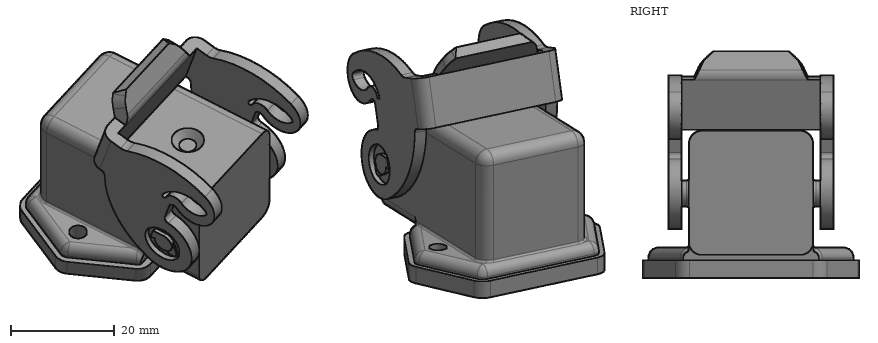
import cadquery as cq
import math

plate_length = 30.0
plate_width = 42.0
plate_height = 3.5
plate_corner = 3.0
flank_slope = 0.5
rim_inset = 1.1
rim_height = 2.5
rim_round = 2.0
rim_end_x = 13.5
mount_hole_d = 3.45
mount_hole_y = 14.9

body_start_x = -11.95
body_end_x = 26.45
body_width = 24.05
body_top = 28.55
body_overhang_z = 4.5
body_round = 2.55
body_foot_round = 0.45
dimple_x = 15.5
dimple_r = 3.15
dimple_floor_r = 1.65
dimple_depth = 1.5

pivot_x = 20.55
pivot_z = 16.4
pivot_r = 2.55
pivot_collar_r = 2.67
pivot_collar_height = 0.5
recess_r = 4.0
recess_depth = 1.15
pin_head_r = 2.0
pin_head_height = 0.85
pin_tooth_top_reach = 2.4
pin_tooth_tip_reach = 3.05
pin_lobe_height = 0.4
pin_lobe_r = 1.05
pin_lobe_x = 1.7
pin_lobe_drop = 2.0

lever_width = 32.0
lever_thickness = 2.6
lever_tilt = 15.0
bar_foot_x = 3.35
bar_foot_z = 29.35
bar_height = 10.05
bar_corner = 2.55
arm_hub_r = 6.9
arm_sweep_r = 20.0
arm_back_x = 6.95
crown_x = 19.65
hook_x = 27.75
hook_z = 31.9
hook_r = 5.0
notch_x = 23.1
notch_r = 1.0
crown_blend_r = 2.5
arm_blend_r = 1.0

tab_tilt = 30.0
tab_length = 4.15
tab_taper = 20.0
tab_root_half = 11.0
tab_shoulder_start = (10.3, 1.65)
tab_shoulder_middle = (9.7, 2.9)
tab_shoulder_end = (8.75, 4.0)

plate_top = plate_height
rim_top = plate_height + rim_height
arm_outer_y = lever_width / 2
arm_inner_y = arm_outer_y - lever_thickness


def shift(point, angle, distance):
    """Point moved by a distance in the direction of an angle in degrees from +X toward +Z."""
    a = math.radians(angle)
    return (point[0] + distance * math.cos(a), point[1] + distance * math.sin(a))


def toward(start, end, distance):
    """Point at a distance from start on the ray through end."""
    reach = math.hypot(end[0] - start[0], end[1] - start[1])
    return tuple(s + (e - s) * distance / reach for s, e in zip(start, end))


def below_at_distance(x, point, distance):
    """Point with the given x, lying below another point at a given distance from it."""
    return (x, point[1] - math.sqrt(distance**2 - (point[0] - x) ** 2))


def line_meets_circle(start, angle, center, radius):
    """First crossing of a ray with a circle."""
    a = math.radians(angle)
    dx = start[0] - center[0]
    dz = start[1] - center[1]
    half_b = dx * math.cos(a) + dz * math.sin(a)
    travel = -half_b - math.sqrt(half_b**2 - dx**2 - dz**2 + radius**2)
    return shift(start, angle, travel)


def xz_prism(y_start, y_end):
    """Sketch plane parallel to XZ at y_start; extrude the sketch by y_start - y_end to reach y_end."""
    return cq.Workplane("XZ", origin=(0, y_start, 0)), y_start - y_end


def hexagon(inset, z, height):
    """Hexagonal prism with rounded corners, offset inward from the plate outline."""
    flank = math.hypot(1, flank_slope)
    peak = plate_width / 2 + plate_corner * (flank - 1) - inset * flank
    half = plate_length / 2 - inset
    side = peak - flank_slope * half
    points = [(half, side), (0, peak), (-half, side), (-half, -side), (0, -peak), (half, -side)]
    prism = cq.Workplane("XY", origin=(0, 0, z)).polyline(points).close().extrude(height)
    return prism.edges("|Z").fillet(plate_corner - inset)


def make_base():
    rim = hexagon(rim_inset, plate_top, rim_height).faces(">Z").edges().fillet(rim_round)
    beyond_rim = cq.Workplane("XY").box(plate_length, plate_width, body_top, centered=(False, True, False))
    rim = rim.cut(beyond_rim.translate((rim_end_x, 0, 0)))
    return hexagon(0, 0, plate_height).union(rim)


def make_body():
    upper = cq.Workplane("XY").box(
        body_end_x - body_start_x, body_width, body_top - body_overhang_z, centered=(False, True, False)
    )
    upper = upper.translate((body_start_x, 0, body_overhang_z))
    upper = upper.edges("|Z and <X").fillet(body_round)
    upper = upper.edges(">Z except >X").fillet(body_round)
    upper = upper.edges("|X and <Z").fillet(body_round)

    foot_height = 2 * body_round
    foot = cq.Workplane("XY").box(
        rim_end_x - body_start_x, body_width, foot_height + body_overhang_z - plate_top,
        centered=(False, True, False),
    )
    foot = foot.translate((body_start_x, 0, plate_top)).edges("|Z and <X").fillet(body_round)
    return upper.union(foot)


def round_body_foot(housing):
    """Fillet the straight joints between the body sides and the top of the rim."""
    reach = 0.05
    half = body_width / 2 + reach
    joint_band = cq.selectors.BoxSelector(
        (body_start_x, -half, rim_top - reach), (rim_end_x, half, rim_top + reach)
    )
    along_x = cq.selectors.ParallelDirSelector(cq.Vector(1, 0, 0))
    joints = [e for e in housing.edges(joint_band & along_x).vals() if abs(e.Center().y) > half - 2 * reach]
    return housing.newObject(joints).fillet(body_foot_round)


def make_housing():
    housing = round_body_foot(make_base().union(make_body()))
    mount_holes = (
        cq.Workplane("XY")
        .pushPoints([(0, mount_hole_y), (0, -mount_hole_y)])
        .circle(mount_hole_d / 2)
        .extrude(rim_top)
    )
    dimple = cq.Workplane("XY").add(
        cq.Solid.makeCone(
            dimple_floor_r, dimple_r, dimple_depth, pnt=(dimple_x, 0, body_top - dimple_depth)
        )
    )
    return housing.cut(mount_holes).cut(dimple)


bar_front_foot = (bar_foot_x, bar_foot_z)
bar_front_top = shift(bar_front_foot, 90 - lever_tilt, bar_height)
bar_back_foot = shift(bar_front_foot, -lever_tilt, lever_thickness)
bar_back_top = shift(bar_front_top, -lever_tilt, lever_thickness)
pivot = (pivot_x, pivot_z)


def make_arm_blank():
    """Side arm at the -Y side, without its openings."""
    hook = (hook_x, hook_z)
    crown = below_at_distance(crown_x, hook, arm_sweep_r - hook_r)
    notch = below_at_distance(notch_x, hook, hook_r + notch_r)
    sweep_x = arm_back_x + arm_sweep_r
    sweep_rise = math.sqrt((arm_sweep_r - arm_hub_r) ** 2 - (sweep_x - pivot_x) ** 2)
    sweep = (sweep_x, pivot_z + sweep_rise)

    crown_start = line_meets_circle(bar_back_top, -lever_tilt, crown, arm_sweep_r)
    crown_end = toward(crown, hook, arm_sweep_r)
    notch_start = toward(hook, notch, hook_r)
    notch_end = shift(notch, 180 - lever_tilt, notch_r)
    hub_start = line_meets_circle(notch_end, -90 - lever_tilt, pivot, arm_hub_r)
    hub_end = toward(sweep, pivot, arm_sweep_r)
    back_start = line_meets_circle(bar_back_foot, -lever_tilt, sweep, arm_sweep_r)

    plane, depth = xz_prism(-arm_outer_y, -arm_inner_y)
    arm = (
        plane.moveTo(*bar_back_foot)
        .lineTo(*bar_back_top)
        .lineTo(*crown_start)
        .threePointArc((crown_x, crown[1] + arm_sweep_r), crown_end)
        .threePointArc(shift(hook, 0, hook_r), notch_start)
        .threePointArc((notch_x, notch[1] + notch_r), notch_end)
        .lineTo(*hub_start)
        .threePointArc(shift(pivot, -45, arm_hub_r), hub_end)
        .threePointArc(shift(sweep, 205, arm_sweep_r), back_start)
        .close()
        .extrude(depth)
    )
    blends = (
        (crown_start, crown_blend_r),
        (hub_start, arm_blend_r),
        (back_start, arm_blend_r),
    )
    middle_y = -(arm_outer_y + arm_inner_y) / 2
    for corner, radius in blends:
        near = cq.selectors.NearestToPointSelector((corner[0], middle_y, corner[1]))
        arm = arm.edges(near).fillet(radius)
    return arm


def make_eye():
    """Curved opening in the hook end of the arm: a bowl that narrows to a tail over a hump."""
    tail_top = (20.7, 30.75)
    tail_tip = (20.85, 29.95)
    hump_start = (21.4, 30.3)
    hump_top = (23.35, 31.55)
    bowl_start = (25.0, 30.85)
    bowl_bottom = (27.8, 29.55)
    nose_bottom = (30.5, 30.7)
    nose_tip = (30.85, 31.43)
    nose_top = (30.45, 32.15)
    roof_top = (25.95, 33.75)
    plane, depth = xz_prism(-arm_outer_y, -arm_inner_y)
    return (
        plane.moveTo(*tail_top)
        .threePointArc(tail_tip, hump_start)
        .threePointArc(hump_top, bowl_start)
        .threePointArc(bowl_bottom, nose_bottom)
        .threePointArc(nose_tip, nose_top)
        .threePointArc(roof_top, tail_top)
        .close()
        .extrude(depth)
    )


def make_pin_head(floor_y):
    """Locking head on the recess floor: a disc with a flat-topped tooth on a low rounded lobe."""
    tooth_root_x = pivot_x - pin_tooth_top_reach
    tooth_tip_x = pivot_x - pin_tooth_tip_reach
    lobe = (pivot_x + pin_lobe_x, pivot_z - pin_lobe_drop)
    top_y = floor_y - pin_head_height
    lobe_top_y = floor_y - pin_lobe_height

    plane, depth = xz_prism(floor_y, top_y)
    disc = plane.center(*pivot).circle(pin_head_r).extrude(depth)
    tooth = (
        plane.moveTo(*pivot)
        .lineTo(pivot_x, pivot_z + pin_head_r)
        .lineTo(tooth_root_x, pivot_z + pin_head_r)
        .lineTo(tooth_tip_x, pivot_z)
        .close()
        .extrude(depth)
    )
    head = disc.union(tooth)

    spread = math.hypot(lobe[0] - pivot_x, lobe[1] - pivot_z)
    heading = math.degrees(math.atan2(lobe[1] - pivot_z, lobe[0] - pivot_x))
    spread_angle = math.degrees(math.acos((pin_head_r - pin_lobe_r) / spread))
    plane, depth = xz_prism(floor_y, lobe_top_y)
    lobe_base = (
        plane.moveTo(*shift(pivot, heading + spread_angle, pin_head_r))
        .lineTo(*shift(lobe, heading + spread_angle, pin_lobe_r))
        .threePointArc(shift(lobe, heading, pin_lobe_r), shift(lobe, heading - spread_angle, pin_lobe_r))
        .lineTo(*shift(pivot, heading - spread_angle, pin_head_r))
        .close()
        .extrude(depth)
    )
    return head.union(lobe_base)


def make_pivot():
    """Axle from the body side to the arm, with a conical collar at the body."""
    body_side = body_width / 2
    plane, depth = xz_prism(-arm_inner_y, -body_side)
    axle = plane.center(*pivot).circle(pivot_r).extrude(depth)
    collar = cq.Solid.makeCone(
        pivot_collar_r,
        pivot_r,
        pivot_collar_height,
        pnt=(pivot_x, -body_side, pivot_z),
        dir=(0, -1, 0),
    )
    return axle.union(cq.Workplane("XY").add(collar))


def make_arm():
    floor_y = recess_depth - arm_outer_y
    plane, depth = xz_prism(-arm_outer_y, floor_y)
    recess = plane.center(*pivot).circle(recess_r).extrude(depth)
    arm = make_arm_blank().cut(make_eye()).cut(recess)
    return arm.union(make_pin_head(floor_y)).union(make_pivot())


def make_bar():
    plane, depth = xz_prism(-arm_outer_y, arm_outer_y)
    corners = [bar_front_foot, bar_front_top, bar_back_top, bar_back_foot]
    bar = plane.polyline(corners).close().extrude(depth)
    middle = shift(bar_front_foot, 90 - lever_tilt, bar_height / 2)
    for y in (-arm_outer_y, arm_outer_y):
        near = cq.selectors.NearestToPointSelector((middle[0], y, middle[1]))
        bar = bar.edges(near).fillet(bar_corner)
    return bar


def make_tab():
    """Bent tab: a leaning slab trimmed to an outline whose sides taper inward toward the back."""
    tip_front = shift(bar_front_top, 90 + tab_tilt, tab_length)
    tip_back = shift(tip_front, tab_tilt, lever_thickness)
    bend_start = shift(bar_front_top, tab_tilt, lever_thickness)
    bend_middle = shift(bar_front_top, (tab_tilt - lever_tilt) / 2, lever_thickness)
    plane, depth = xz_prism(-tab_root_half, tab_root_half)
    slab = (
        plane.moveTo(*bar_front_top)
        .lineTo(*tip_front)
        .lineTo(*tip_back)
        .lineTo(*bend_start)
        .threePointArc(bend_middle, bar_back_top)
        .close()
        .extrude(depth)
    )
    lean = math.radians(tab_tilt)
    face = cq.Plane(
        origin=(bar_front_top[0], 0, bar_front_top[1]),
        xDir=(0, 1, 0),
        normal=(math.cos(lean), 0, math.sin(lean)),
    )
    overrun = 2 * lever_thickness
    root_slope = (tab_root_half - tab_shoulder_start[0]) / tab_shoulder_start[1]
    low_half = tab_root_half + root_slope * overrun
    peak = tab_shoulder_end[1] + tab_shoulder_end[0]
    outline = (
        cq.Workplane(face)
        .moveTo(-low_half, -overrun)
        .lineTo(low_half, -overrun)
        .lineTo(*tab_shoulder_start)
        .threePointArc(tab_shoulder_middle, tab_shoulder_end)
        .lineTo(0, peak)
        .lineTo(-tab_shoulder_end[0], tab_shoulder_end[1])
        .threePointArc(
            (-tab_shoulder_middle[0], tab_shoulder_middle[1]),
            (-tab_shoulder_start[0], tab_shoulder_start[1]),
        )
        .close()
        .extrude(lever_thickness, taper=tab_taper)
    )
    return slab.intersect(outline)


def make_lever():
    arm = make_arm()
    return make_bar().union(make_tab()).union(arm).union(arm.mirror("XZ"))


result = make_housing().union(make_lever())